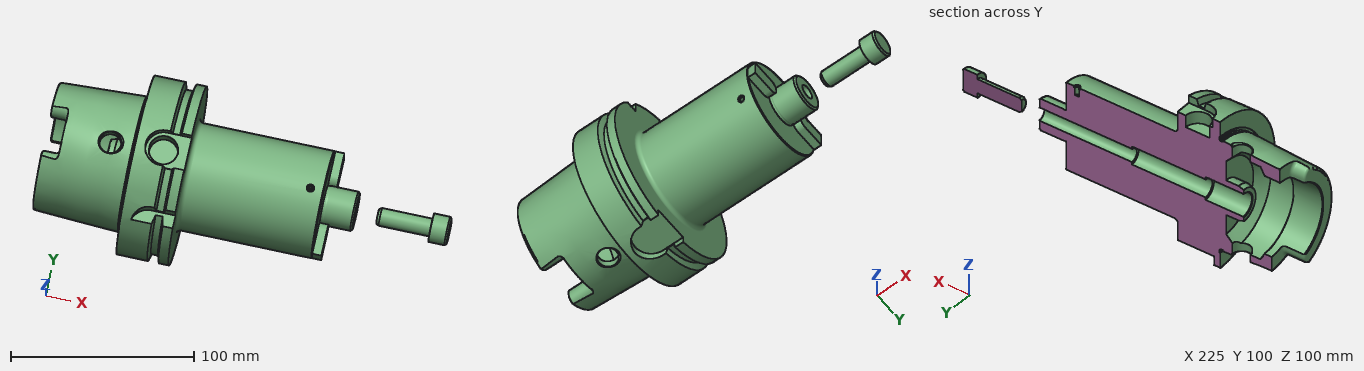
import cadquery as cq
import math


flange_radius = 50.0
flange_width = 29.0
groove_radius = 46.0
groove_left = 17.2
groove_right = 23.5
groove_wall_run = 1.2
seat_recess_radius = 39.5
seat_recess_depth = 0.5

shank_length = 50.0
shank_tail_radius = 35.5
shank_root_radius = 37.9
shank_end_x = -2.0
relief_radius = 37.2
relief_bevel = 0.7
tail_round = 1.5

mouth_radius = 26.5
mouth_chamfer = 0.5
lip_x = -30.0
undercut_radius = 31.5
lip_angle = 60.0
cavity_floor_x = -4.0
cavity_floor_radius = 24.8

spigot_radius = 12.0
spigot_tip_radius = 10.8
spigot_x = -16.0
spigot_chamfer_length = 3.4
spigot_bore_radius = 15.3 / 2
spigot_mouth_radius = 16.0 / 2
middle_bore_radius = 12.0 / 2
screw_bore_radius = 8.7 / 2
spigot_bore_end = 10.0
middle_bore_end = 60.0

notch_half_width = 10.0
notch_depths = {1: 9.5, -1: 15.0}
notch_floor_round = 2.0
notch_flare_start = 26.8
notch_base = 20.0
notch_flare_radius = 6.0

access_x = -14.3
access_radius = 12.0 / 2
access_chamfer = 1.2
access_rim_z = 37.6

slot_floor = 44.0
slot_center_x = 15.4
top_slot_half_width = 10.0
bottom_slot_half_width = 11.0
slot_hole_radius = 16.0 / 2
slot_hole_depth = 8.0
corner_floor_z = 31.5
corner_wall_y = -corner_floor_z
corner_cutter_radius = 10.0

arbor_radius = 30.0
arbor_end = 105.0
arbor_chamfer = 0.5
arbor_fillet = 2.5
nose_radius = 11.0
nose_end = 123.0
nose_chamfer = 1.0
neck_radius = 21.6 / 2
neck_end = 107.0
neck_bevel = 0.7
key_end = 110.0
key_half_width = 5.0
key_outer = math.sqrt(arbor_radius**2 - key_half_width**2)
key_round_center = 15.5

radial_hole_x = 97.5
radial_hole_radius = 2.5 / 2
radial_seat_radius = 4.0 / 2
radial_seat_depth = 1.0
radial_hole_depth = 6.0
radial_hole_count = 3

screw_tip_x = 135.0
screw_head_x = 165.0
screw_end_x = 175.0
screw_radius = 5.0
screw_tip_radius = 4.0
screw_tip_chamfer = 1.6
screw_head_radius = 8.0
screw_head_chamfer = 1.0


def turn(workplane):
    """Close a profile of (x, radius) points and revolve it about the X axis."""
    return workplane.close().revolve(360, (0, 0, 0), (1, 0, 0))


def turned_body():
    groove_floor_left = groove_left + groove_wall_run
    groove_floor_right = groove_right - groove_wall_run
    profile = (
        cq.Workplane("XY")
        .moveTo(-shank_length, 0)
        .lineTo(-shank_length, shank_tail_radius)
        .lineTo(shank_end_x, shank_root_radius)
        .lineTo(shank_end_x + relief_bevel, relief_radius)
        .lineTo(seat_recess_depth - relief_bevel, relief_radius)
        .lineTo(seat_recess_depth, relief_radius + relief_bevel)
        .lineTo(seat_recess_depth, seat_recess_radius)
        .lineTo(0, seat_recess_radius)
        .lineTo(0, flange_radius)
        .lineTo(groove_left, flange_radius)
        .lineTo(groove_floor_left, groove_radius)
        .lineTo(groove_floor_right, groove_radius)
        .lineTo(groove_right, flange_radius)
        .lineTo(flange_width, flange_radius)
        .lineTo(flange_width, arbor_radius + arbor_fillet)
        .radiusArc((flange_width + arbor_fillet, arbor_radius), -arbor_fillet)
        .lineTo(arbor_end - arbor_chamfer, arbor_radius)
        .lineTo(arbor_end, arbor_radius - arbor_chamfer)
        .lineTo(arbor_end, neck_radius)
        .lineTo(neck_end - neck_bevel, neck_radius)
        .lineTo(neck_end, nose_radius)
        .lineTo(nose_end - nose_chamfer, nose_radius)
        .lineTo(nose_end, nose_radius - nose_chamfer)
        .lineTo(nose_end, 0)
    )
    return turn(profile)


def cavity():
    """Hollow of the shank: mouth, undercut behind the lip, and the space around the spigot."""
    lip_run = (undercut_radius - mouth_radius) / math.tan(math.radians(lip_angle))
    floor_bevel = undercut_radius - cavity_floor_radius
    profile = (
        cq.Workplane("XY")
        .moveTo(-shank_length, 0)
        .lineTo(-shank_length, mouth_radius + mouth_chamfer)
        .lineTo(mouth_chamfer - shank_length, mouth_radius)
        .lineTo(lip_x, mouth_radius)
        .lineTo(lip_x + lip_run, undercut_radius)
        .lineTo(cavity_floor_x - floor_bevel, undercut_radius)
        .lineTo(cavity_floor_x, cavity_floor_radius)
        .lineTo(cavity_floor_x, spigot_radius)
        .lineTo(spigot_x + spigot_chamfer_length, spigot_radius)
        .lineTo(spigot_x, spigot_tip_radius)
        .lineTo(spigot_x, 0)
    )
    return turn(profile)


def axial_bore():
    profile = (
        cq.Workplane("XY")
        .moveTo(spigot_x, 0)
        .lineTo(spigot_x, spigot_mouth_radius)
        .lineTo(spigot_x + spigot_mouth_radius - spigot_bore_radius, spigot_bore_radius)
        .lineTo(spigot_bore_end, spigot_bore_radius)
        .lineTo(spigot_bore_end, middle_bore_radius)
        .lineTo(middle_bore_end, middle_bore_radius)
        .lineTo(middle_bore_end, screw_bore_radius)
        .lineTo(nose_end, screw_bore_radius)
        .lineTo(nose_end, 0)
    )
    return turn(profile)


def tail_notch(side):
    """Drive notch whose side walls flare outward; side is +1 for the top and -1 for the bottom."""
    flare_y = notch_half_width + notch_flare_radius
    flare_z = notch_flare_start + notch_flare_radius
    notch = (
        cq.Workplane("YZ", origin=(-shank_length, 0, 0))
        .moveTo(-notch_half_width, notch_base)
        .lineTo(-notch_half_width, notch_flare_start)
        .radiusArc((-flare_y, flare_z), -notch_flare_radius)
        .lineTo(-flange_radius, flare_z)
        .lineTo(-flange_radius, flange_radius)
        .lineTo(flange_radius, flange_radius)
        .lineTo(flange_radius, flare_z)
        .lineTo(flare_y, flare_z)
        .radiusArc((notch_half_width, notch_flare_start), -notch_flare_radius)
        .lineTo(notch_half_width, notch_base)
        .close()
        .extrude(notch_depths[side])
    )
    floor_corners = cq.selectors.BoxSelector(
        (-shank_length, -flare_y, notch_base),
        (0, flare_y, flare_z),
    )
    notch = notch.faces(">X").edges(floor_corners).edges("not <Z").fillet(notch_floor_round)
    return notch if side > 0 else notch.rotate((0, 0, 0), (1, 0, 0), 180)


def access_hole(side):
    """Hole from the cavity out through the shank wall, with a countersunk rim that breaks the taper."""
    hole = (
        cq.Workplane("XY", origin=(access_x, 0, side * mouth_radius))
        .circle(access_radius)
        .extrude(side * (access_rim_z - mouth_radius))
    )
    rim = (
        cq.Workplane("XY", origin=(access_x, 0, side * (access_rim_z - access_chamfer)))
        .circle(access_radius)
        .workplane(offset=side * access_chamfer)
        .circle(access_radius + access_chamfer)
        .loft()
    )
    return hole.union(rim)


def rounded_slot(half_width, center_y, floor_z, side):
    """Slot open at the +X face of the flange, with a round inner end and a flat floor."""
    length = flange_width - slot_center_x
    height = side * (flange_radius - abs(floor_z))
    plane = cq.Workplane("XY", origin=(slot_center_x, center_y, floor_z))
    round_end = plane.circle(half_width).extrude(height)
    straight = plane.center(length / 2, 0).rect(length, 2 * half_width).extrude(height)
    return round_end.union(straight)


def slot_hole():
    return (
        cq.Workplane("XY", origin=(slot_center_x, 0, slot_floor))
        .circle(slot_hole_radius)
        .extrude(-slot_hole_depth)
    )


def drive_key(side):
    """Key on the arbor end face with a round inner end; side is +1 or -1 along Y."""
    plane = cq.Workplane("YZ", origin=(arbor_end - arbor_chamfer, 0, 0))
    height = key_end - arbor_end + arbor_chamfer
    length = key_outer - key_round_center
    middle = side * (key_outer + key_round_center) / 2
    block = plane.center(middle, 0).rect(length, 2 * key_half_width).extrude(height)
    round_end = plane.center(side * key_round_center, 0).circle(key_half_width).extrude(height)
    return block.union(round_end)


def radial_hole(angle):
    """Stepped hole into the arbor, turned about X from the top position."""
    plane = cq.Workplane("XY", origin=(radial_hole_x, 0, arbor_radius))
    hole = plane.circle(radial_hole_radius).extrude(-radial_hole_depth)
    seat = plane.circle(radial_seat_radius).extrude(-radial_seat_depth)
    return hole.union(seat).rotate((0, 0, 0), (1, 0, 0), angle)


def make_holder():
    body = turned_body()
    for side in (1, -1):
        body = body.cut(tail_notch(side)).union(drive_key(side))
    body = body.faces("<X").edges("not |Y").fillet(tail_round)
    body = body.cut(cavity()).cut(axial_bore())
    for side in (1, -1):
        body = body.cut(access_hole(side))
    body = body.cut(rounded_slot(top_slot_half_width, 0, slot_floor, 1))
    body = body.cut(rounded_slot(bottom_slot_half_width, 0, -slot_floor, -1))
    body = body.cut(slot_hole())
    corner_center_y = corner_wall_y - corner_cutter_radius
    body = body.cut(rounded_slot(corner_cutter_radius, corner_center_y, corner_floor_z, 1))
    for index in range(radial_hole_count):
        body = body.cut(radial_hole(index * 360 / radial_hole_count))
    return body


def make_screw():
    profile = (
        cq.Workplane("XY")
        .moveTo(screw_tip_x, 0)
        .lineTo(screw_tip_x, screw_tip_radius)
        .lineTo(screw_tip_x + screw_tip_chamfer, screw_radius)
        .lineTo(screw_head_x, screw_radius)
        .lineTo(screw_head_x, screw_head_radius)
        .lineTo(screw_end_x - screw_head_chamfer, screw_head_radius)
        .lineTo(screw_end_x, screw_head_radius - screw_head_chamfer)
        .lineTo(screw_end_x, 0)
    )
    return turn(profile)


holder = make_holder()
screw = make_screw()
result = cq.Compound.makeCompound([holder.val(), screw.val()])